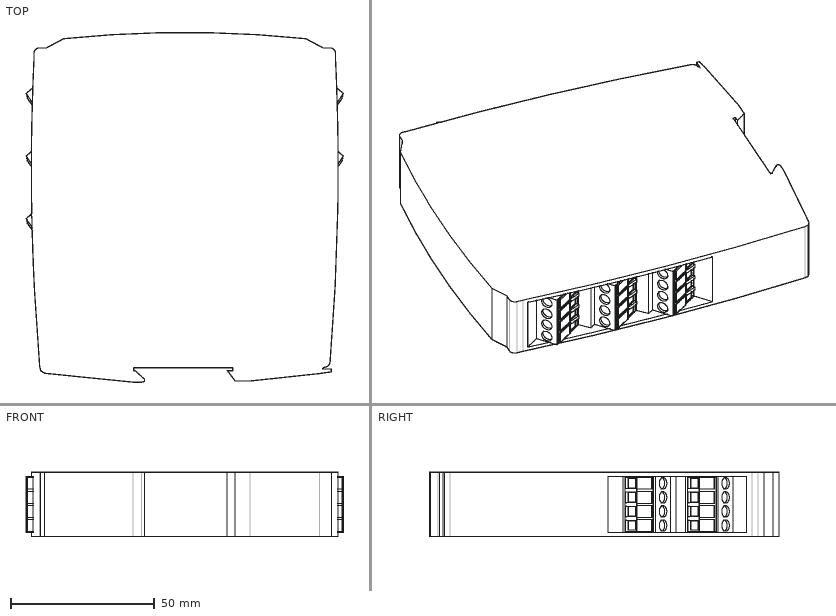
import cadquery as cq
import math


TOTAL_WIDTH = 110.63
TOTAL_DEPTH = 121.98
THICKNESS = 22.5

TIP_X = TOTAL_WIDTH / 2
TOP_Y = TOTAL_DEPTH / 2
BOTTOM_Y = -TOTAL_DEPTH / 2

SIDE_X = 53.5
SIDE_Y = 14.0
SHOULDER_X = 52.6
SHOULDER_LOW_Y = 51.4
SHOULDER_HIGH_Y = 53.6
SHOULDER_TOP_Y = 55.6
SHOULDER_RADIUS = SHOULDER_TOP_Y - SHOULDER_HIGH_Y
SHOULDER_END_X = 48.2
CROWN_X = 42.2
CROWN_Y = 58.8

LEFT_CORNER = (-50.6, -55.6)
LEFT_CORNER_FACET = (-50.2, -57.0)
LEFT_CORNER_END = (-48.8, -57.9)
LEFT_FOOT_START_X = -18.1
LEFT_FOOT_END_X = -15.0
LEFT_HOOK_X = -14.0
LEFT_HOOK_LOW_Y = -60.7
LEFT_HOOK_HIGH_Y = -59.9

RAIL_Y = -56.0
RAIL_LEFT_X = -17.7
RAIL_RIGHT_X = 16.7
RAIL_LIP_Y = -56.9
RAIL_LEFT_LIP_X = -17.3
RAIL_RIGHT_LIP_X = 14.8

RIGHT_FOOT_Y = -60.6
RIGHT_FOOT_START_X = 17.6
RIGHT_FOOT_END_X = 22.7

LATCH_X = 51.1
LATCH_ROOT_Y = -58.0
LATCH_LOW_Y = -57.4
LATCH_TOP_Y = -56.3
LATCH_ROOT_X = 47.0
SLIT_ROOT_X = 48.0
RIGHT_CORNER = (50.7, -53.8)
RIGHT_CORNER_MID = (50.05, -55.22)
RIGHT_CORNER_END = (48.6, -55.8)

TERMINAL_PITCH = 21.8
FIRST_TIP_Y = 39.65
LEFT_TERMINALS = 3
RIGHT_TERMINALS = 2
POCKET_HALF_Z = 9.8
POCKET_TOP_Y = 49.55
POCKET_MOUTH_X = 57.0

FRONT_SLOPE = 0.7
FRONT_LENGTH = 11.3
RIDGE_DROP = 14.6
VALLEY_RISE = 5.2
VALLEY_DEPTH = 6.0
ROOT_DEPTH = FRONT_SLOPE * FRONT_LENGTH
RIDGE_DEPTH = VALLEY_DEPTH - FRONT_SLOPE * (TERMINAL_PITCH - VALLEY_RISE - RIDGE_DROP)

CONTACTS = 4
CONTACT_PITCH = 4.9
TEST_HOLE_DIAMETER = 4.0
TEST_HOLE_DEPTH = 1.0
SLAB_START = 0.65
SLAB_END = 10.5
SLAB_HEIGHT = 0.3
LEVER_START = 1.15
LEVER_END = 6.3
LEVER_HEIGHT = 0.6
LEVER_WIDTH = 4.1
ENTRY_START = 6.8
ENTRY_END = 9.5
ENTRY_WIDTH = 3.3
RIB_WIDTH = 1.3
RIB_END = 10.0
RIB_END_HEIGHT = 1.3

SLAB_HALF_Z = CONTACT_PITCH * (CONTACTS - 1) / 2 + LEVER_WIDTH / 2
CONTACT_Z = [(i - (CONTACTS - 1) / 2) * CONTACT_PITCH for i in range(CONTACTS)]
RIB_Z = [(a + b) / 2 for a, b in zip(CONTACT_Z, CONTACT_Z[1:])]


def prism(points, height):
    """Extrude an XY polygon symmetrically about Z = 0."""
    return cq.Workplane("XY").polyline(points).close().extrude(height / 2, both=True)


def make_housing():
    """Housing plate with bulging sides, arched top and rail notch."""
    shoulder_arc_x = SHOULDER_X - SHOULDER_RADIUS
    bevel = SHOULDER_RADIUS * math.sqrt(0.5)
    arc_mid_x = shoulder_arc_x + bevel
    arc_mid_y = SHOULDER_HIGH_Y + bevel
    return (
        cq.Workplane("XY")
        .moveTo(*LEFT_CORNER)
        .lineTo(*LEFT_CORNER_FACET)
        .lineTo(*LEFT_CORNER_END)
        .lineTo(LEFT_FOOT_START_X, BOTTOM_Y)
        .lineTo(LEFT_FOOT_END_X, BOTTOM_Y)
        .lineTo(LEFT_HOOK_X, LEFT_HOOK_LOW_Y)
        .lineTo(LEFT_HOOK_X, LEFT_HOOK_HIGH_Y)
        .lineTo(RAIL_LEFT_LIP_X, RAIL_LIP_Y)
        .lineTo(RAIL_LEFT_X, RAIL_LIP_Y)
        .lineTo(RAIL_LEFT_X, RAIL_Y)
        .lineTo(RAIL_RIGHT_X, RAIL_Y)
        .lineTo(RAIL_RIGHT_X, RAIL_LIP_Y)
        .lineTo(RAIL_RIGHT_LIP_X, RAIL_LIP_Y)
        .lineTo(RIGHT_FOOT_START_X, RIGHT_FOOT_Y)
        .lineTo(RIGHT_FOOT_END_X, RIGHT_FOOT_Y)
        .lineTo(LATCH_ROOT_X, LATCH_ROOT_Y)
        .lineTo(LATCH_X, LATCH_LOW_Y)
        .lineTo(LATCH_X, LATCH_TOP_Y)
        .lineTo(SLIT_ROOT_X, LATCH_TOP_Y)
        .lineTo(*RIGHT_CORNER_END)
        .threePointArc(RIGHT_CORNER_MID, RIGHT_CORNER)
        .threePointArc((SIDE_X, SIDE_Y), (SHOULDER_X, SHOULDER_LOW_Y))
        .lineTo(SHOULDER_X, SHOULDER_HIGH_Y)
        .threePointArc((arc_mid_x, arc_mid_y), (shoulder_arc_x, SHOULDER_TOP_Y))
        .lineTo(SHOULDER_END_X, SHOULDER_TOP_Y)
        .lineTo(CROWN_X, CROWN_Y)
        .threePointArc((0, TOP_Y), (-CROWN_X, CROWN_Y))
        .lineTo(-SHOULDER_END_X, SHOULDER_TOP_Y)
        .lineTo(-shoulder_arc_x, SHOULDER_TOP_Y)
        .threePointArc((-arc_mid_x, arc_mid_y), (-SHOULDER_X, SHOULDER_HIGH_Y))
        .lineTo(-SHOULDER_X, SHOULDER_LOW_Y)
        .threePointArc((-SIDE_X, SIDE_Y), LEFT_CORNER)
        .close()
        .extrude(THICKNESS / 2, both=True)
    )


def tip_y(index):
    """Y of a terminal tip, counted from the +Y end of the row."""
    return FIRST_TIP_Y - index * TERMINAL_PITCH


def make_pocket(count):
    """Cutter for the -X side; its floor is the bare sloped bed below each tip."""
    first_valley_y = FIRST_TIP_Y + VALLEY_RISE
    mouth_depth = VALLEY_DEPTH - FRONT_SLOPE * (POCKET_TOP_Y - first_valley_y)
    points = [(-POCKET_MOUTH_X, POCKET_TOP_Y), (-TIP_X + mouth_depth, POCKET_TOP_Y)]
    for i in range(count):
        y = tip_y(i)
        points.append((-TIP_X + VALLEY_DEPTH, y + VALLEY_RISE))
        points.append((-TIP_X + ROOT_DEPTH, y - FRONT_LENGTH))
        if i < count - 1:
            points.append((-TIP_X + RIDGE_DEPTH, y - RIDGE_DROP))
    back_slope = VALLEY_DEPTH / VALLEY_RISE
    last_root_y = tip_y(count - 1) - FRONT_LENGTH
    rise = (POCKET_MOUTH_X - TIP_X + ROOT_DEPTH) / back_slope
    points.append((-POCKET_MOUTH_X, last_root_y - rise))
    return prism(points, 2 * POCKET_HALF_Z)


def slope_point(y, distance, height):
    """Point above the front slope, a distance in Y below the tip at the given Y."""
    slope_length = math.hypot(1, FRONT_SLOPE)
    lift_x = height / slope_length
    lift_y = height * FRONT_SLOPE / slope_length
    return -TIP_X + FRONT_SLOPE * distance - lift_x, y - distance - lift_y


def slope_block(y, start, end, start_height, end_height, width):
    """Block standing on the front slope, with a level or tapering top."""
    return prism(
        [
            slope_point(y, start, 0),
            slope_point(y, start, start_height),
            slope_point(y, end, end_height),
            slope_point(y, end, 0),
        ],
        width,
    )


def make_terminal(y):
    """One wedge-shaped terminal on the -X side with its tip at the given Y."""
    terminal = prism(
        [
            (-TIP_X, y),
            (-TIP_X + VALLEY_DEPTH, y + VALLEY_RISE),
            (-TIP_X + ROOT_DEPTH, y - FRONT_LENGTH),
        ],
        2 * POCKET_HALF_Z,
    )
    slab = slope_block(y, SLAB_START, SLAB_END, SLAB_HEIGHT, SLAB_HEIGHT, 2 * SLAB_HALF_Z)
    lever = slope_block(y, LEVER_START, LEVER_END, LEVER_HEIGHT, LEVER_HEIGHT, LEVER_WIDTH)
    entry = slope_block(y, ENTRY_START, ENTRY_END, LEVER_HEIGHT, LEVER_HEIGHT, ENTRY_WIDTH)
    rib = slope_block(y, LEVER_END, RIB_END, LEVER_HEIGHT, RIB_END_HEIGHT, RIB_WIDTH)

    for z in CONTACT_Z:
        slab = slab.cut(entry.translate((0, 0, z)))
    terminal = terminal.union(slab)
    for z in CONTACT_Z:
        terminal = terminal.union(lever.translate((0, 0, z)))
    for z in RIB_Z:
        terminal = terminal.union(rib.translate((0, 0, z)))
    return terminal


def make_test_holes(y):
    """Blind round holes square to the back slope of a terminal."""
    slope_length = math.hypot(VALLEY_DEPTH, VALLEY_RISE)
    inward = cq.Vector(VALLEY_RISE / slope_length, -VALLEY_DEPTH / slope_length, 0)
    holes = []
    for z in CONTACT_Z:
        centre = cq.Vector(-TIP_X + VALLEY_DEPTH / 2, y + VALLEY_RISE / 2, z)
        start = centre - inward * TEST_HOLE_DEPTH
        hole = cq.Solid.makeCylinder(TEST_HOLE_DIAMETER / 2, 2 * TEST_HOLE_DEPTH, start, inward)
        holes.append(cq.Workplane("XY").add(hole))
    return holes


def add_terminal_row(body, count, on_right):
    """Cut the pocket and fit the terminals on one side of the housing."""
    def placed(shape):
        return shape.mirror("YZ") if on_right else shape

    body = body.cut(placed(make_pocket(count)))
    for i in range(count):
        body = body.union(placed(make_terminal(tip_y(i))))
        for hole in make_test_holes(tip_y(i)):
            body = body.cut(placed(hole))
    return body


result = make_housing()
result = add_terminal_row(result, LEFT_TERMINALS, on_right=False)
result = add_terminal_row(result, RIGHT_TERMINALS, on_right=True)